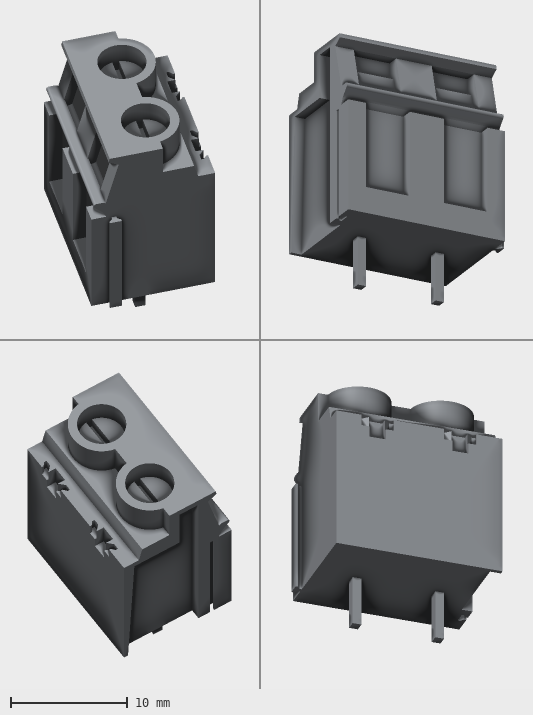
import cadquery as cq


WIDTH = 15.1
DEPTH = 11.0
HEIGHT = 17.0
TOTAL_HEIGHT = 21.5

POLE_COUNT = 2
FIRST_POLE_X = 3.83
POLE_PITCH = 7.5
POLE_XS = [FIRST_POLE_X + POLE_PITCH * i for i in range(POLE_COUNT)]

FRONT_STEP_Z = 10.23
RIB_ROOT_Y = 1.33
RIB_BEND_START = (1.0, 10.81)
RIB_BEND_MIDDLE = (0.92, 10.92)
RIB_BEND_END = (0.84, 11.0)
RIB_NOSE_START = (0.35, 11.5)
RIB_NOSE_MIDDLE = (0.22, 11.74)
RIB_TOP_FRONT_Y = 0.47
RIB_BACK_MIDDLE = (1.1, 11.93)
RIB_FOOT = (1.3, 11.82)
RIB_TOP_Z = 11.95
RIB_TOP_BACK_Y = 0.9
SLOPE_TOP = (2.43, 16.1)
LIP_TIP = (1.55, 16.6)
LIP_TOP_Y = 1.63
UPPER_BACK_Y = 6.36
SHOULDER_Z = 14.23
SHOULDER_BACK_Y = 9.14
BACK_LEDGE_Z = 12.92
BACK_LEDGE_FRONT_Y = 9.5

SCREW_Y = 5.87
BOSS_RADIUS = 2.9
WELL_RADIUS = 2.1

SCREW_RADIUS = 2.0
SCREW_LENGTH = 2.0
SCREW_SINK = 1.8
SLOT_WIDTH = 0.6
SLOT_DEPTH = 1.0
WELL_DEPTH = SCREW_SINK + SCREW_LENGTH

POCKET_WIDTH = 4.06
POCKET_CREASE = (1.38, 11.75)
POCKET_FLOOR_MIDDLE = (1.72, 11.07)
POCKET_FLOOR_BACK = (2.05, 11.22)
POCKET_LEDGE_Z = 14.35
POCKET_BACK_Y = 3.61

ENTRY_WIDTH = 4.21
ENTRY_DEPTH = 1.2
ENTRY_FLOOR_Z = 2.4

RECESS_DEPTH = 0.99
RECESS_FRONT_Y = 3.4
RECESS_STEP_Y = 5.33
RECESS_TOP_Z = 16.38
RECESS_STEP_Z = 12.38
RECESS_BACK_TOP_Y = 9.95
RECESS_BACK_BOTTOM_Y = 10.6

DOVETAIL_Y = 2.0
DOVETAIL_HEIGHT = 10.05
DOVETAIL_REACH = 0.67
DOVETAIL_NECK = 0.22
DOVETAIL_FLARE_END = 0.47
DOVETAIL_NECK_HALF = 0.22
DOVETAIL_HEAD_HALF = 0.54

NOTCH_SLOT_WIDTH = 1.46
NOTCH_SLOT_REACH = 0.9
NOTCH_SLOT_DEPTH = 2.0
WING_DEPTH = 1.0
WING_REACH = 0.69
WING_MOUTH_HALF = 1.48
WING_TIP_HALF = 1.83
WING_BASE_HALF = 1.25
WING_MOUTH_REACH = 0.17
WING_TIP_REACH = 0.45
WING_INNER_REACH = 0.17

PIN_WIDTH = 0.8
PIN_THICKNESS = 0.9
PIN_LENGTH = TOTAL_HEIGHT - HEIGHT
PIN_Y = 5.29


def box(x0, x1, y0, y1, z0, z1):
    """Box between two opposite corners."""
    return cq.Workplane("XY").box(x1 - x0, y1 - y0, z1 - z0, centered=False).translate((x0, y0, z0))


def vertical_cylinder(x, radius, z0, z1):
    """Cylinder on the screw line, between two levels."""
    return cq.Workplane("XY").center(x, SCREW_Y).circle(radius).extrude(z1 - z0).translate((0, 0, z0))


def housing_block():
    """Side profile of the housing, with its front rib and top lip, drawn along the row."""
    return (
        cq.Workplane("YZ")
        .moveTo(0, 0)
        .lineTo(0, FRONT_STEP_Z)
        .lineTo(RIB_ROOT_Y, FRONT_STEP_Z)
        .lineTo(*RIB_BEND_START)
        .threePointArc(RIB_BEND_MIDDLE, RIB_BEND_END)
        .lineTo(*RIB_NOSE_START)
        .threePointArc(RIB_NOSE_MIDDLE, (RIB_TOP_FRONT_Y, RIB_TOP_Z))
        .lineTo(RIB_TOP_BACK_Y, RIB_TOP_Z)
        .threePointArc(RIB_BACK_MIDDLE, RIB_FOOT)
        .lineTo(*SLOPE_TOP)
        .lineTo(*LIP_TIP)
        .lineTo(LIP_TOP_Y, HEIGHT)
        .lineTo(UPPER_BACK_Y, HEIGHT)
        .lineTo(UPPER_BACK_Y, SHOULDER_Z)
        .lineTo(SHOULDER_BACK_Y, SHOULDER_Z)
        .lineTo(BACK_LEDGE_FRONT_Y, BACK_LEDGE_Z)
        .lineTo(DEPTH, BACK_LEDGE_Z)
        .lineTo(DEPTH, 0)
        .close()
        .extrude(WIDTH)
    )


def slope_pocket(x):
    """Pocket in the sloped face: a hollow floor, a parallel sloped wall, a ledge and an upright wall."""
    slope = (SLOPE_TOP[0] - RIB_FOOT[0]) / (SLOPE_TOP[1] - RIB_FOOT[1])
    floor_y, floor_z = POCKET_FLOOR_BACK
    ledge_front_y = floor_y + slope * (POCKET_LEDGE_Z - floor_z)
    pocket = (
        cq.Workplane("YZ")
        .moveTo(*RIB_FOOT)
        .lineTo(*POCKET_CREASE)
        .lineTo(POCKET_CREASE[0], floor_z)
        .threePointArc(POCKET_FLOOR_MIDDLE, POCKET_FLOOR_BACK)
        .lineTo(ledge_front_y, POCKET_LEDGE_Z)
        .lineTo(POCKET_BACK_Y, POCKET_LEDGE_Z)
        .lineTo(POCKET_BACK_Y, SLOPE_TOP[1])
        .lineTo(*SLOPE_TOP)
        .close()
        .extrude(POCKET_WIDTH)
    )
    return pocket.translate((x - POCKET_WIDTH / 2, 0, 0))


def entry_pocket(x):
    """Pocket in the lower front wall, open at the top."""
    half = ENTRY_WIDTH / 2
    return box(x - half, x + half, 0, ENTRY_DEPTH, ENTRY_FLOOR_Z, FRONT_STEP_Z)


def side_recess():
    """Stepped shallow recess in the left side, open at the bottom."""
    outline = [
        (RECESS_FRONT_Y, 0),
        (RECESS_FRONT_Y, RECESS_TOP_Z),
        (RECESS_STEP_Y, RECESS_TOP_Z),
        (RECESS_STEP_Y, RECESS_STEP_Z),
        (RECESS_BACK_TOP_Y, RECESS_STEP_Z),
        (RECESS_BACK_BOTTOM_Y, 0),
    ]
    return cq.Workplane("YZ").polyline(outline).close().extrude(RECESS_DEPTH)


def dovetail(x):
    """Upright dovetail bar whose neck starts at x and which widens toward +X."""
    upper_half = [
        (0, DOVETAIL_NECK_HALF),
        (DOVETAIL_NECK, DOVETAIL_NECK_HALF),
        (DOVETAIL_FLARE_END, DOVETAIL_HEAD_HALF),
        (DOVETAIL_REACH, DOVETAIL_HEAD_HALF),
    ]
    lower_half = [(px, -py) for px, py in reversed(upper_half)]
    bar = cq.Workplane("XY").polyline(upper_half + lower_half).close().extrude(DOVETAIL_HEIGHT)
    return bar.translate((x, DOVETAIL_Y, 0))


def back_notch(x):
    """Notch in the back ledge, open to the back: two shallow wings and a deeper central slot."""
    slot_half = NOTCH_SLOT_WIDTH / 2
    right_half = [
        (slot_half, WING_INNER_REACH),
        (WING_BASE_HALF, WING_REACH),
        (WING_TIP_HALF, WING_REACH),
        (WING_TIP_HALF, WING_TIP_REACH),
        (WING_MOUTH_HALF, WING_MOUTH_REACH),
        (WING_MOUTH_HALF, 0),
    ]
    left_half = [(-offset, reach) for offset, reach in reversed(right_half)]
    outline = [(x + offset, DEPTH - reach) for offset, reach in right_half + left_half]
    wings = (
        cq.Workplane("XY")
        .workplane(offset=BACK_LEDGE_Z - WING_DEPTH)
        .polyline(outline)
        .close()
        .extrude(WING_DEPTH)
    )
    slot = box(
        x - slot_half, x + slot_half,
        DEPTH - NOTCH_SLOT_REACH, DEPTH,
        BACK_LEDGE_Z - NOTCH_SLOT_DEPTH, BACK_LEDGE_Z,
    )
    return wings.union(slot)


def make_housing():
    housing = housing_block().union(dovetail(WIDTH))
    for x in POLE_XS:
        housing = housing.union(vertical_cylinder(x, BOSS_RADIUS, SHOULDER_Z, HEIGHT))
    housing = housing.cut(side_recess()).cut(dovetail(0))
    for x in POLE_XS:
        housing = housing.cut(slope_pocket(x))
        housing = housing.cut(entry_pocket(x))
        housing = housing.cut(back_notch(x))
        housing = housing.cut(vertical_cylinder(x, WELL_RADIUS, HEIGHT - WELL_DEPTH, HEIGHT))
    return housing


def make_screw(x):
    """Slotted screw head standing on the bottom of its well, with a small gap all round."""
    top_z = HEIGHT - SCREW_SINK
    head = vertical_cylinder(x, SCREW_RADIUS, top_z - SCREW_LENGTH, top_z)
    slot = box(
        x - SCREW_RADIUS, x + SCREW_RADIUS,
        SCREW_Y - SLOT_WIDTH / 2, SCREW_Y + SLOT_WIDTH / 2,
        top_z - SLOT_DEPTH, top_z,
    )
    return head.cut(slot)


def make_pin(x):
    """Rectangular solder pin below the housing, touching its bottom face."""
    half_width = PIN_WIDTH / 2
    half_thickness = PIN_THICKNESS / 2
    return box(x - half_width, x + half_width, PIN_Y - half_thickness, PIN_Y + half_thickness, -PIN_LENGTH, 0)


housing = make_housing()
screws = [make_screw(x) for x in POLE_XS]
pins = [make_pin(x) for x in POLE_XS]

result = cq.Compound.makeCompound(
    [housing.val()] + [screw.val() for screw in screws] + [pin.val() for pin in pins]
)